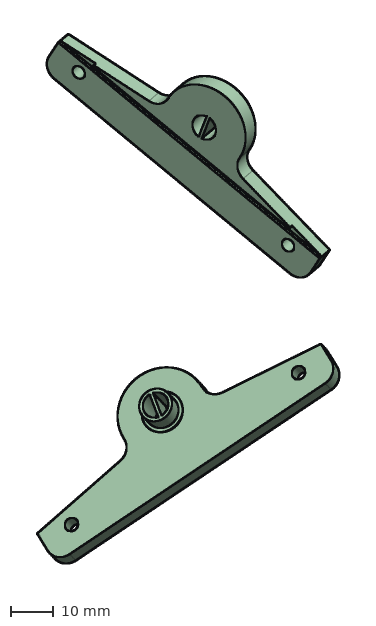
import cadquery as cq
import math

tilt = 30.0

bar_length = 80.0
bar_height = 9.05
corner_radius = 4.0
plate_thickness = 5.0
hole_diameter = 3.25
hole_spacing = 64.0
hole_below_bar_top = 3.0

head_radius = 11.0
pivot_above_bar_top = 8.0
shoulder_angle = 8.2
head_fillet = 4.0

relief_depth = 1.0
pad_gap = 1.0
pad_end_inset = 10.0

collar_diameter = 10.0
collar_thickness = 0.3
pin_diameter = 8.0
pin_length = 5.2
bore_diameter = 6.2
web_thickness = 0.9
web_lean = 20.0

half_length = bar_length / 2
bar_top = -pivot_above_bar_top
bar_bottom = bar_top - bar_height
collar_back = plate_thickness + collar_thickness
pin_back = collar_back + pin_length


def plane_at(y):
    """XZ sketch plane at depth y; extrusions go toward +Y."""
    return cq.Workplane(cq.Plane(origin=(0, y, 0), xDir=(1, 0, 0), normal=(0, -1, 0)))


def disc(diameter, y_front, y_back):
    return plane_at(y_front).circle(diameter / 2).extrude(y_front - y_back)


def box(x_min, x_max, y_min, y_max, z_min, z_max):
    size = (x_max - x_min, y_max - y_min, z_max - z_min)
    return cq.Workplane("XY").box(*size, centered=False).translate((x_min, y_min, z_min))


def make_plate():
    """Bar, sloping shoulders and round head with tangent fillets."""
    slope = math.radians(shoulder_angle)
    slope_sin = math.sin(slope)
    slope_cos = math.cos(slope)

    shoulder_offset = half_length * slope_sin + bar_top * slope_cos
    center_distance = head_radius + head_fillet
    across = shoulder_offset + head_fillet
    along = math.sqrt(center_distance**2 - across**2)
    center_x = along * slope_cos + across * slope_sin
    center_z = across * slope_cos - along * slope_sin

    shoulder_x = center_x - head_fillet * slope_sin
    shoulder_z = center_z - head_fillet * slope_cos
    head_x = center_x * head_radius / center_distance
    head_z = center_z * head_radius / center_distance

    chord_x = (shoulder_x + head_x) / 2 - center_x
    chord_z = (shoulder_z + head_z) / 2 - center_z
    reach = head_fillet / math.hypot(chord_x, chord_z)
    middle_x = center_x + chord_x * reach
    middle_z = center_z + chord_z * reach

    blank = (
        plane_at(0)
        .moveTo(-half_length, bar_top)
        .lineTo(-shoulder_x, shoulder_z)
        .threePointArc((-middle_x, middle_z), (-head_x, head_z))
        .threePointArc((0, head_radius), (head_x, head_z))
        .threePointArc((middle_x, middle_z), (shoulder_x, shoulder_z))
        .lineTo(half_length, bar_top)
        .lineTo(half_length, bar_bottom)
        .lineTo(-half_length, bar_bottom)
        .close()
        .extrude(-plate_thickness)
    )
    bottom_corners = cq.selectors.BoxSelector(
        (-bar_length, -plate_thickness, bar_bottom - corner_radius),
        (bar_length, 2 * plate_thickness, bar_bottom + corner_radius),
    )
    return blank.edges("|Y").edges(bottom_corners).fillet(corner_radius)


def make_relief():
    """Shallow front cut around the pad: a groove along the bar and open ends."""
    pad_bottom = bar_top + pad_gap
    pad_end = half_length - pad_end_inset
    groove = box(-half_length, half_length, 0, relief_depth, bar_top, pad_bottom)
    left_end = box(-half_length, -pad_end, 0, relief_depth, bar_top, 0)
    right_end = box(pad_end, half_length, 0, relief_depth, bar_top, 0)
    return groove.union(left_end).union(right_end)


def make_mounting_holes():
    return (
        plane_at(0)
        .pushPoints([(side * hole_spacing / 2, bar_top - hole_below_bar_top) for side in (-1, 1)])
        .circle(hole_diameter / 2)
        .extrude(-plate_thickness)
    )


def make_web():
    """Flat web across the bore, running its full length."""
    half_web = web_thickness / 2
    slab = box(-half_web, half_web, 0, pin_back, -pin_diameter / 2, pin_diameter / 2)
    slab = slab.rotate((0, 0, 0), (0, 1, 0), web_lean - tilt)
    web_span = (bore_diameter + pin_diameter) / 2
    return slab.intersect(disc(web_span, 0, pin_back))


plate = make_plate().cut(make_relief()).cut(make_mounting_holes())
collar = disc(collar_diameter, plate_thickness, collar_back)
pin = disc(pin_diameter, collar_back, pin_back)
bore = disc(bore_diameter, 0, pin_back)

body = plate.union(collar).union(pin).cut(bore).union(make_web())
result = body.rotate((0, 0, 0), (0, 1, 0), tilt)